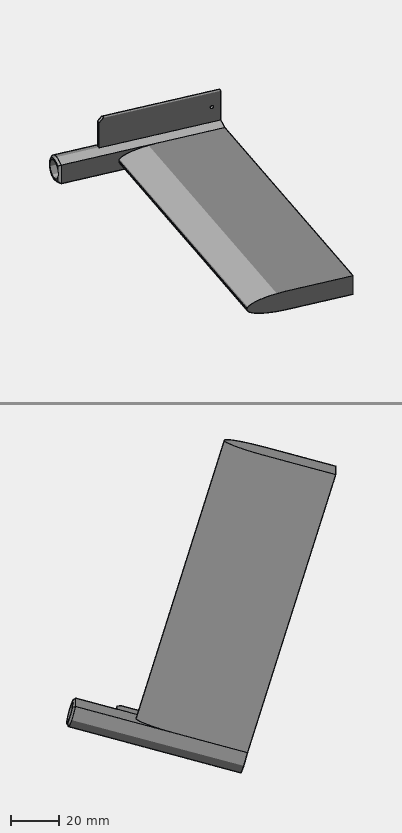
import cadquery as cq
import math

tube_length = 75.0
tube_radius = 5.9
bore_diameter = 8.3
flat_x = 5.0
tube_end_chamfer = 1.0

wing_span = 130.0
wing_chord = 48.0
wing_flat_chord = 30.5
wing_half_thickness = 4.5
nose_half_height = 0.45

plate_thickness = 1.6
plate_length = 55.0
plate_top_z = 20.0
plate_corner_chamfer = 2.0
plate_top_fillet = 0.4
hole_diameter = 1.4
hole_from_back = 4.0
hole_from_top = 7.0


def make_tube():
    """Round tube whose sides run tangentially into a flat facing the wing."""
    corner_distance = math.hypot(flat_x, wing_half_thickness)
    corner_angle = math.atan2(wing_half_thickness, flat_x)
    tangent_angle = corner_angle + math.acos(tube_radius / corner_distance)
    tangent_x = tube_radius * math.cos(tangent_angle)
    tangent_z = tube_radius * math.sin(tangent_angle)
    body = (
        cq.Workplane("XZ")
        .moveTo(flat_x, -wing_half_thickness)
        .lineTo(flat_x, wing_half_thickness)
        .lineTo(tangent_x, tangent_z)
        .threePointArc((-tube_radius, 0), (tangent_x, -tangent_z))
        .close()
        .extrude(tube_length)
    )
    return body.faces("<Y").edges().chamfer(tube_end_chamfer)


def make_wing():
    """Flat-backed wing section whose elliptical front is cut off at a narrow blunt nose."""
    flat_y = -wing_flat_chord
    nose_y = -wing_chord
    nose_angle = math.asin(nose_half_height / wing_half_thickness)
    ellipse_reach = (wing_chord - wing_flat_chord) / math.cos(nose_angle)
    nose_degrees = math.degrees(nose_angle)
    return (
        cq.Workplane("YZ", origin=(flat_x, 0, 0))
        .moveTo(0, -wing_half_thickness)
        .lineTo(0, wing_half_thickness)
        .lineTo(flat_y, wing_half_thickness)
        .ellipseArc(ellipse_reach, wing_half_thickness, 90, 180 - nose_degrees)
        .lineTo(nose_y, -nose_half_height)
        .ellipseArc(ellipse_reach, wing_half_thickness, 180 + nose_degrees, 270)
        .close()
        .extrude(wing_span)
    )


def make_plate():
    """Thin upright plate with a clipped front corner, rounded top edges, and a small cross hole."""
    plate = (
        cq.Workplane("XY")
        .box(plate_thickness, plate_length, plate_top_z, centered=(True, False, False))
        .translate((0, -plate_length, 0))
        .edges("|X and >Z and <Y")
        .chamfer(plate_corner_chamfer)
        .edges("|Y and >Z")
        .fillet(plate_top_fillet)
    )
    hole = (
        cq.Workplane("YZ", origin=(-plate_thickness / 2, 0, 0))
        .center(-hole_from_back, plate_top_z - hole_from_top)
        .circle(hole_diameter / 2)
        .extrude(plate_thickness)
    )
    return plate.cut(hole)


def make_bore():
    """Round hole along the full length of the tube."""
    return cq.Workplane("XZ").circle(bore_diameter / 2).extrude(tube_length)


result = make_tube().union(make_plate()).union(make_wing()).cut(make_bore())